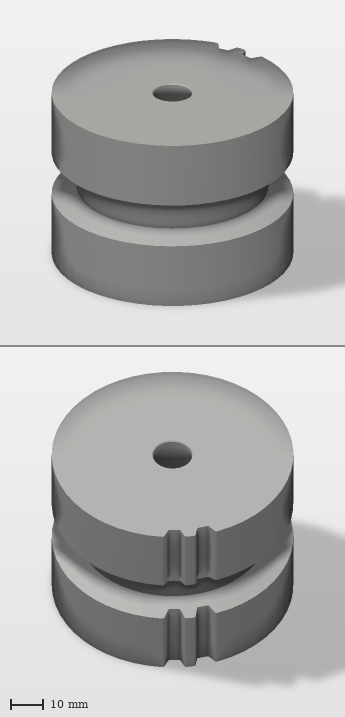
import cadquery as cq
import math

outer_diameter = 74.55
outer_radius = outer_diameter / 2
height = 55.0

waist_radius = 29.6
groove_mouth_width = 14.0
groove_floor_width = 9.2

bore_diameter = 12.0
bore_chamfer = 0.3

tooth_count = 24
cut_gap_count = 2
gap_root_radius = 34.0
gap_root_width = 3.6
flank_angle = 25.0
gap_root_fillet = 0.4
tooth_tip_fillet = 0.75
tip_iterations = 20


def make_body():
    """Revolve the half section of the grooved cylinder about Z."""
    half_mouth = groove_mouth_width / 2
    half_floor = groove_floor_width / 2
    section = (
        cq.Workplane("XZ")
        .moveTo(0, -height / 2)
        .lineTo(outer_radius, -height / 2)
        .lineTo(outer_radius, -half_mouth)
        .lineTo(waist_radius, -half_floor)
        .lineTo(waist_radius, half_floor)
        .lineTo(outer_radius, half_mouth)
        .lineTo(outer_radius, height / 2)
        .lineTo(0, height / 2)
        .close()
    )
    return section.revolve(360, (0, 0, 0), (0, 1, 0))


def flank_half_width(radial_position):
    """Half width of a tooth gap at a given distance from the axis."""
    rise = radial_position - gap_root_radius
    return gap_root_width / 2 + rise * math.tan(math.radians(flank_angle))


def make_gap_cutter():
    """Prism of one tooth gap on +Y, with rounded roots that leaves rounded tooth tips."""
    slope = math.radians(flank_angle)
    tip_circle = outer_radius - tooth_tip_fillet
    tip_y = tip_circle
    for _ in range(tip_iterations):
        tip_x = flank_half_width(tip_y) + tooth_tip_fillet / math.cos(slope)
        tip_y = math.sqrt(tip_circle**2 - tip_x**2)

    flank_end = (
        tip_x - tooth_tip_fillet * math.cos(slope),
        tip_y + tooth_tip_fillet * math.sin(slope),
    )
    rim_point = (tip_x * outer_radius / tip_circle, tip_y * outer_radius / tip_circle)
    middle_angle = (math.atan2(tip_y, tip_x) + math.pi - slope) / 2
    arc_middle = (
        tip_x + tooth_tip_fillet * math.cos(middle_angle),
        tip_y + tooth_tip_fillet * math.sin(middle_angle),
    )

    def mirrored(point):
        return (-point[0], point[1])

    cutter = (
        cq.Workplane("XY")
        .workplane(offset=-height / 2)
        .moveTo(-gap_root_width / 2, gap_root_radius)
        .lineTo(gap_root_width / 2, gap_root_radius)
        .lineTo(*flank_end)
        .threePointArc(arc_middle, rim_point)
        .lineTo(rim_point[0], outer_radius)
        .lineTo(-rim_point[0], outer_radius)
        .lineTo(*mirrored(rim_point))
        .threePointArc(mirrored(arc_middle), mirrored(flank_end))
        .close()
        .extrude(height)
    )
    return cutter.faces("<Y").edges("|Z").fillet(gap_root_fillet)


def make_bore_cutter():
    """Through bore with a chamfer at both ends."""
    bore_radius = bore_diameter / 2
    mouth_radius = bore_radius + bore_chamfer
    return (
        cq.Workplane("XZ")
        .moveTo(0, -height / 2)
        .lineTo(mouth_radius, -height / 2)
        .lineTo(bore_radius, -height / 2 + bore_chamfer)
        .lineTo(bore_radius, height / 2 - bore_chamfer)
        .lineTo(mouth_radius, height / 2)
        .lineTo(0, height / 2)
        .close()
        .revolve(360, (0, 0, 0), (0, 1, 0))
    )


result = make_body().cut(make_bore_cutter())
gap_cutter = make_gap_cutter()
for gap_index in range(cut_gap_count):
    clockwise_turn = -gap_index * 360 / tooth_count
    result = result.cut(gap_cutter.rotate((0, 0, 0), (0, 0, 1), clockwise_turn))